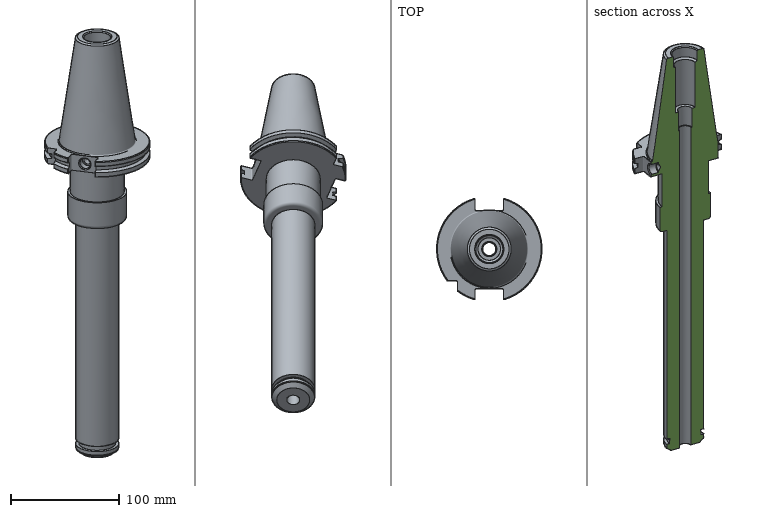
import cadquery as cq
import math

total_length = 415.6

gauge_dia = 69.85
taper_ratio = 7 / 24
taper_length = 101.75
tip_chamfer_radial = 2.0
tip_chamfer_height = 1.15
taper_base_fillet = 1.0
top_z = taper_length
bottom_z = top_z - total_length

flange_dia = 97.5
flange_top_z = -3.2
flange_bottom_z = -19.1
flange_edge_chamfer = 0.8
grip_groove_z = -11.1
grip_groove_mouth_width = 6.2
grip_groove_root_width = 3.6
grip_groove_root_dia = 90.0

drive_slot_width = 26.0
drive_slot_corner_radius = 1.0
drive_slot_mouth_chamfer = 0.7
front_slot_floor_y = -36.8
rear_slot_floor_y = 35.5
notch_wall_x = -29.5
notch_wall_y = -29.3
notch_corner_radius = 1.0
chip_mouth_dia = 12.0
chip_dia = 10.0
chip_depth = 8.2
chip_drill_dia = 7.0
chip_drill_point_angle = 118

neck_dia = 50.0
collar_dia = 54.5
collar_face_dia = 48.38
collar_top_z = -53.5
collar_bottom_z = -80.3
shank_dia = 40.0

nose_groove_dia = 34.0
nose_relief_dia = 33.0
nose_groove_top = 13.2
nose_relief_bottom = 11.8
nose_groove_bottom = 8.1
nose_land_bottom = 4.5
nose_cone_top = 3.4
nose_cone_top_dia = 39.2
nose_tip_dia = 30.5

bore_mouth_dia = 27.0
bore_mouth_chamfer = 1.0
pilot_dia = 25.0
pilot_depth = 11.0
thread_dia = 20.75
thread_lead_in = 1.5
thread_depth = 60.0
coolant_entry_dia = 14.0
coolant_entry_length = 20.0
coolant_dia = 12.0


def taper_radius(z):
    """Radius of the steep taper at height z."""
    return (gauge_dia - taper_ratio * z) / 2


def revolve(outline):
    """Turn a closed (radius, height) outline about the Z axis."""
    return outline.close().revolve(360, (0, 0, 0), (0, 1, 0))


def turned_body():
    fillet_top_z = flange_top_z + taper_base_fillet
    fillet_top_radius = taper_radius(fillet_top_z)
    fillet_foot = (fillet_top_radius + taper_base_fillet, flange_top_z)
    tip_edge_z = top_z - tip_chamfer_height
    flange_radius = flange_dia / 2
    flange_face_radius = flange_radius - flange_edge_chamfer
    collar_fillet = (collar_dia - collar_face_dia) / 2
    outline = (
        cq.Workplane("XZ")
        .moveTo(0, top_z)
        .lineTo(taper_radius(tip_edge_z) - tip_chamfer_radial, top_z)
        .lineTo(taper_radius(tip_edge_z), tip_edge_z)
        .lineTo(fillet_top_radius, fillet_top_z)
        .radiusArc(fillet_foot, -taper_base_fillet)
        .lineTo(flange_face_radius, flange_top_z)
        .lineTo(flange_radius, flange_top_z - flange_edge_chamfer)
        .lineTo(flange_radius, flange_bottom_z + flange_edge_chamfer)
        .lineTo(flange_face_radius, flange_bottom_z)
        .lineTo(neck_dia / 2, flange_bottom_z)
        .lineTo(neck_dia / 2, collar_top_z)
        .lineTo(collar_dia / 2, collar_top_z)
        .lineTo(collar_dia / 2, collar_bottom_z + collar_fillet)
        .radiusArc((collar_face_dia / 2, collar_bottom_z), collar_fillet)
        .lineTo(shank_dia / 2, collar_bottom_z)
        .lineTo(shank_dia / 2, bottom_z + nose_groove_top)
        .lineTo(nose_relief_dia / 2, bottom_z + nose_groove_top)
        .lineTo(nose_relief_dia / 2, bottom_z + nose_relief_bottom)
        .lineTo(nose_groove_dia / 2, bottom_z + nose_relief_bottom)
        .lineTo(nose_groove_dia / 2, bottom_z + nose_groove_bottom)
        .lineTo(shank_dia / 2, bottom_z + nose_groove_bottom)
        .lineTo(shank_dia / 2, bottom_z + nose_land_bottom)
        .lineTo(nose_cone_top_dia / 2, bottom_z + nose_cone_top)
        .lineTo(nose_tip_dia / 2, bottom_z)
        .lineTo(0, bottom_z)
    )
    return revolve(outline)


def grip_groove():
    """Ring with sloping flanks that cuts the gripper groove."""
    root_radius = grip_groove_root_dia / 2
    mouth_radius = flange_dia / 2
    half_root = grip_groove_root_width / 2
    half_mouth = grip_groove_mouth_width / 2
    outline = cq.Workplane("XZ").polyline([
        (root_radius, grip_groove_z + half_root),
        (mouth_radius, grip_groove_z + half_mouth),
        (mouth_radius, grip_groove_z - half_mouth),
        (root_radius, grip_groove_z - half_root),
    ])
    return revolve(outline)


def flange_prism(outline):
    """Extrude a closed XY outline through the full flange thickness."""
    return outline.close().extrude(flange_top_z - flange_bottom_z)


def drive_slot(floor_y):
    """Slot opening outward from floor_y, with rounded floor corners and a chamfered mouth."""
    outward = math.copysign(1, floor_y)
    half_width = drive_slot_width / 2
    mouth_half_width = half_width + drive_slot_mouth_chamfer
    rim_y = outward * math.sqrt((flange_dia / 2) ** 2 - mouth_half_width ** 2)
    chamfer_y = rim_y - outward * drive_slot_mouth_chamfer
    outside_y = outward * flange_dia / 2
    outline = cq.Workplane("XY", origin=(0, 0, flange_bottom_z)).polyline([
        (-half_width, floor_y),
        (half_width, floor_y),
        (half_width, chamfer_y),
        (mouth_half_width, rim_y),
        (mouth_half_width, outside_y),
        (-mouth_half_width, outside_y),
        (-mouth_half_width, rim_y),
        (-half_width, chamfer_y),
    ])
    floor_side = "<Y" if outward > 0 else ">Y"
    return flange_prism(outline).faces(floor_side).edges("|Z").fillet(drive_slot_corner_radius)


def orientation_notch():
    outside = -flange_dia / 2
    outline = cq.Workplane("XY", origin=(0, 0, flange_bottom_z)).polyline([
        (outside, outside),
        (notch_wall_x, outside),
        (notch_wall_x, notch_wall_y),
        (outside, notch_wall_y),
    ])
    return flange_prism(outline).faces(">X").edges("|Z and >Y").fillet(notch_corner_radius)


def chip_pocket():
    """Data-chip pocket in the front slot floor: chamfered bore with a pointed drill bottom."""
    mouth_chamfer = (chip_mouth_dia - chip_dia) / 2
    drill_radius = chip_drill_dia / 2
    point_length = drill_radius / math.tan(math.radians(chip_drill_point_angle / 2))
    floor_to_point = chip_depth + point_length
    outline = cq.Workplane("XY", origin=(0, front_slot_floor_y, grip_groove_z)).polyline([
        (0, 0),
        (chip_mouth_dia / 2, 0),
        (chip_dia / 2, mouth_chamfer),
        (chip_dia / 2, chip_depth),
        (drill_radius, chip_depth),
        (0, floor_to_point),
    ])
    return revolve(outline)


def central_bore():
    thread_bottom_z = top_z - thread_depth
    entry_bottom_z = thread_bottom_z - coolant_entry_length
    outline = cq.Workplane("XZ").polyline([
        (0, top_z),
        (bore_mouth_dia / 2, top_z),
        (pilot_dia / 2, top_z - bore_mouth_chamfer),
        (pilot_dia / 2, top_z - pilot_depth),
        (thread_dia / 2, top_z - pilot_depth - thread_lead_in),
        (thread_dia / 2, thread_bottom_z),
        (coolant_entry_dia / 2, thread_bottom_z),
        (coolant_entry_dia / 2, entry_bottom_z),
        (coolant_dia / 2, entry_bottom_z),
        (coolant_dia / 2, bottom_z),
        (0, bottom_z),
    ])
    return revolve(outline)


result = (
    turned_body()
    .cut(grip_groove())
    .cut(drive_slot(front_slot_floor_y))
    .cut(drive_slot(rear_slot_floor_y))
    .cut(orientation_notch())
    .cut(chip_pocket())
    .cut(central_bore())
)